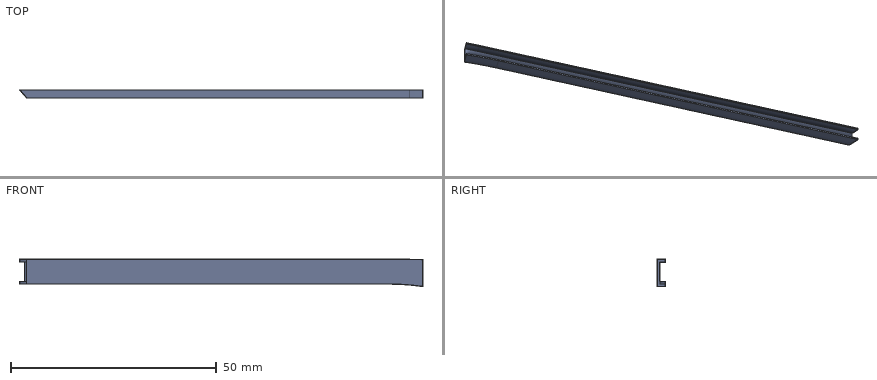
import cadquery as cq
import math

length = 98.15
depth = 2.0
end_height = 6.67

channel_height = 6.07
wall = 0.67

mitre_setback = 1.72

flare_length = 8.0
flare_drop = end_height - channel_height
dip_length = 3.2
dip_drop = 0.07

x_start = -length / 2
x_end = length / 2
z_top = end_height / 2
z_bottom = z_top - channel_height


def falling_arc(start, run, drop):
    """Middle and end points of an arc that leaves start along +X and falls by drop."""
    x, z = start
    radius = (run**2 + drop**2) / (2 * drop)
    drop_at_middle = radius - math.sqrt(radius**2 - (run / 2) ** 2)
    return (x + run / 2, z - drop_at_middle), (x + run, z - drop)


def side_profile(inset):
    """Side outline in XZ with the upper and lower edges moved inwards by inset."""
    upper = z_top - inset
    lower = z_bottom + inset
    dip_start = (x_end - dip_length, upper)
    flare_start = (x_end - flare_length, lower)
    dip_middle, dip_end = falling_arc(dip_start, dip_length, dip_drop)
    flare_middle, flare_end = falling_arc(flare_start, flare_length, flare_drop)

    return (
        cq.Workplane("XZ")
        .moveTo(x_start, upper)
        .lineTo(*dip_start)
        .threePointArc(dip_middle, dip_end)
        .lineTo(*flare_end)
        .threePointArc(flare_middle, flare_start)
        .lineTo(x_start, lower)
        .close()
    )


def channel():
    """Channel open towards +Y, with its web on the -Y side."""
    body = side_profile(0).extrude(-depth)
    cavity = side_profile(wall).extrude(-(depth - wall)).translate((0, wall, 0))
    return body.cut(cavity)


def mitre_cutter():
    """Triangular prism that slants the -X end."""
    return (
        cq.Workplane("XY")
        .polyline([(x_start, 0), (x_start + mitre_setback, 0), (x_start, depth)])
        .close()
        .extrude(end_height, both=True)
    )


result = channel().cut(mitre_cutter()).translate((0, -depth / 2, 0))